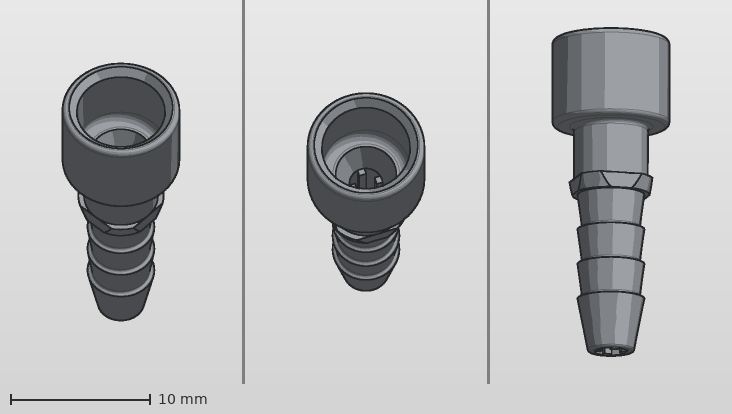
import cadquery as cq

total_length = 22.85
head_length = 6.35
neck_length = 3.93
collar_height = 1.1
barb_pitch = 2.54
short_barb_count = 3

head_bottom = total_length - head_length
collar_top = head_bottom - neck_length
collar_bottom = collar_top - collar_height
tip_barb_top = collar_bottom - short_barb_count * barb_pitch

head_diameter = 8.4
head_radius = head_diameter / 2
neck_radius = 2.65
head_fillet = 0.37
neck_fillet = 0.35

collar_top_radius = 3.06
collar_bottom_radius = 2.77

barb_edge_radius = 2.4
short_barb_root_radius = 2.05
tip_radius = 1.65
barb_root_fillet = 0.2
tip_fillet = 0.2

socket_radius = 3.15
socket_depth = 5.33
socket_fillet = 0.75
mouth_radius = 3.7
mouth_depth = 0.5

funnel_top_radius = 2.17
funnel_depth = 1.7
bore_radius = 1.2
rib_tip_radius = 0.73
rib_width = 0.53
rib_count = 4
rib_overlap = 0.11

selection_margin = 0.02


def cylinder(radius, bottom, top):
    return cq.Workplane("XY").workplane(offset=bottom).circle(radius).extrude(top - bottom)


def cone(bottom_radius, top_radius, bottom, top):
    profile = [(0, bottom), (bottom_radius, bottom), (top_radius, top), (0, top)]
    return cq.Workplane("XZ").polyline(profile).close().revolve(360, (0, 0, 0), (0, 1, 0))


def ring_edge(radius, height):
    """Select the edges lying at one height within the given radius of the axis."""
    reach = radius + selection_margin
    lower = (-reach, -reach, height - selection_margin)
    upper = (reach, reach, height + selection_margin)
    return cq.selectors.BoxSelector(lower, upper, boundingbox=True)


def make_head_and_neck():
    """Join the rounded head to the neck and blend the corner between them."""
    head = cylinder(head_radius, head_bottom, total_length).edges().fillet(head_fillet)
    neck = cylinder(neck_radius, collar_top, head_bottom)
    joined = head.union(neck)
    return joined.edges(ring_edge(neck_radius, head_bottom)).fillet(neck_fillet)


def make_collar():
    """Tapered collar with four flats."""
    flats = (
        cq.Workplane("XY")
        .workplane(offset=collar_bottom)
        .rect(2 * neck_radius, 2 * neck_radius)
        .extrude(collar_height)
    )
    return cone(collar_bottom_radius, collar_top_radius, collar_bottom, collar_top).intersect(flats)


def make_barbs():
    """Revolve all barbs at once, from the tip up to the collar."""
    outline = cq.Workplane("XZ").moveTo(0, 0).lineTo(tip_radius, 0)
    outline = outline.lineTo(barb_edge_radius, tip_barb_top)
    for index in range(short_barb_count):
        bottom = tip_barb_top + index * barb_pitch
        outline = outline.lineTo(short_barb_root_radius, bottom)
        outline = outline.lineTo(barb_edge_radius, bottom + barb_pitch)
    outline = outline.lineTo(0, collar_bottom).close()
    barbs = outline.revolve(360, (0, 0, 0), (0, 1, 0))
    for index in range(short_barb_count):
        bottom = tip_barb_top + index * barb_pitch
        barbs = barbs.edges(ring_edge(short_barb_root_radius, bottom)).fillet(barb_root_fillet)
    return barbs.faces("<Z").edges().fillet(tip_fillet)


def make_socket():
    """Round-bottomed socket with a flared mouth and a funnel down to the bore."""
    floor = total_length - socket_depth
    socket = cylinder(socket_radius, floor, total_length).faces("<Z").edges().fillet(socket_fillet)
    mouth = cone(socket_radius, mouth_radius, total_length - mouth_depth, total_length)
    funnel = cone(bore_radius, funnel_top_radius, floor - funnel_depth, floor)
    return socket.union(mouth).union(funnel)


def make_ribs():
    """Ribs inside the bore, from the tip up to the funnel."""
    top = total_length - socket_depth - funnel_depth
    outer_radius = bore_radius + rib_overlap
    rib = (
        cq.Workplane("XY")
        .center((rib_tip_radius + outer_radius) / 2, 0)
        .rect(outer_radius - rib_tip_radius, rib_width)
        .extrude(top)
    )
    ribs = rib
    for index in range(1, rib_count):
        ribs = ribs.union(rib.rotate((0, 0, 0), (0, 0, 1), index * 360 / rib_count))
    return ribs


body = make_head_and_neck().union(make_collar()).union(make_barbs())
bore = cylinder(bore_radius, 0, total_length)
result = body.cut(make_socket()).cut(bore).union(make_ribs())